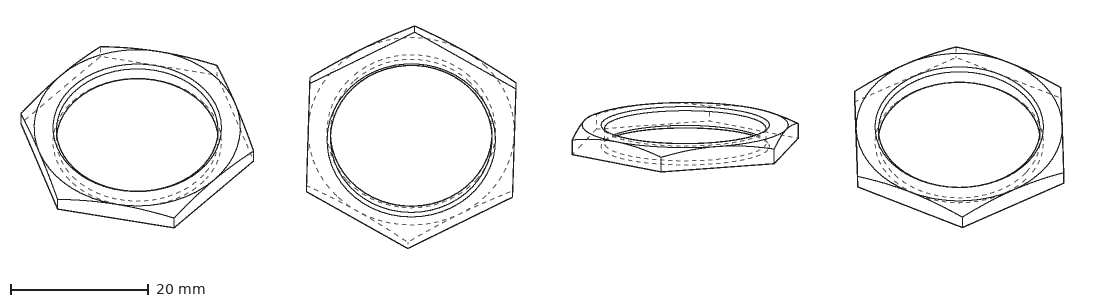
import cadquery as cq
import math

ACROSS_FLATS = 30.0
THICKNESS = 3.2
CORNER_DROP = 1.0
BORE_DIAMETER = 23.5
BORE_CHAMFER = 0.5

FLAT_RADIUS = ACROSS_FLATS / 2
CORNER_RADIUS = FLAT_RADIUS / math.cos(math.radians(30))
BORE_RADIUS = BORE_DIAMETER / 2


def hexagon_blank():
    """Hexagonal plate with flats facing X and corners on the Y axis."""
    return (
        cq.Workplane("XY")
        .transformed(rotate=(0, 0, 90))
        .polygon(6, 2 * CORNER_RADIUS)
        .extrude(THICKNESS)
    )


def beveled_envelope():
    """Turned disc whose top cone starts at the flats and drops to the corners."""
    return (
        cq.Workplane("XZ")
        .moveTo(0, 0)
        .lineTo(CORNER_RADIUS, 0)
        .lineTo(CORNER_RADIUS, THICKNESS - CORNER_DROP)
        .lineTo(FLAT_RADIUS, THICKNESS)
        .lineTo(0, THICKNESS)
        .close()
        .revolve(360, (0, 0, 0), (0, 1, 0))
    )


def chamfered_bore():
    """Turned cutter for the through bore, flared at both ends."""
    mouth_radius = BORE_RADIUS + BORE_CHAMFER
    return (
        cq.Workplane("XZ")
        .moveTo(0, 0)
        .lineTo(mouth_radius, 0)
        .lineTo(BORE_RADIUS, BORE_CHAMFER)
        .lineTo(BORE_RADIUS, THICKNESS - BORE_CHAMFER)
        .lineTo(mouth_radius, THICKNESS)
        .lineTo(0, THICKNESS)
        .close()
        .revolve(360, (0, 0, 0), (0, 1, 0))
    )


result = hexagon_blank().intersect(beveled_envelope()).cut(chamfered_bore())